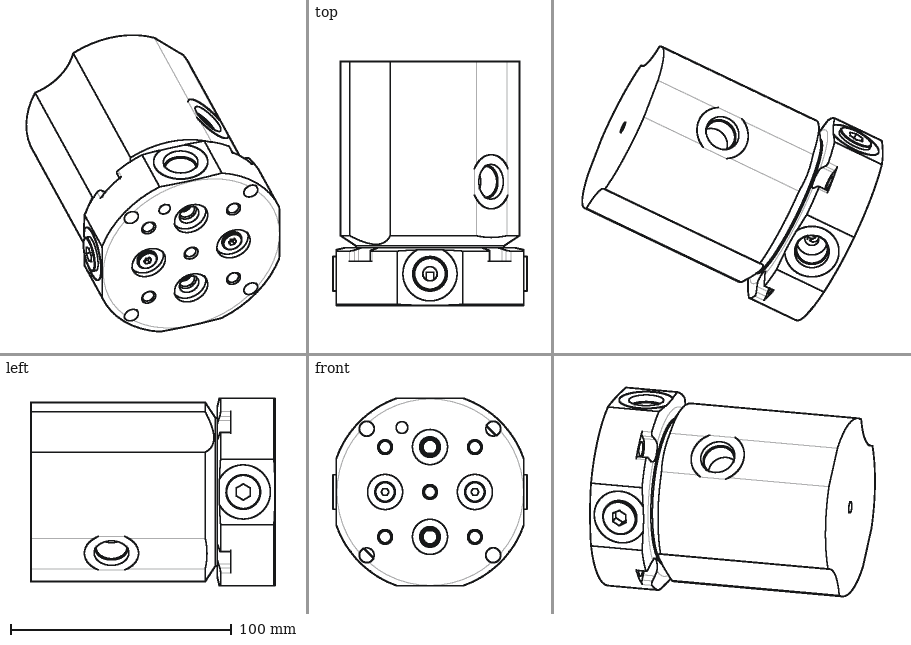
import cadquery as cq
import math


y_axis = (0, 1, 0)
corner_signs = [(1, 1), (1, -1), (-1, 1), (-1, -1)]
tolerance = 0.01

total_length = 110.5
flange_radius = 45.1
flat_distance = 42.5
body_radius = 40.5

front_chamfer_length = 0.5
rear_chamfer_start = 24.6
flange_end = 26.2
neck_end = 27.0
body_cone_end = 31.6

front_face_radius = 42.2
flange_rear_radius = 38.6
neck_radius = 33.6

body_flat_distance = 39.3
scallop_half_width = 12.9
scallop_bottom = 34.7

bolt_offset = 28.6
bolt_hole_radius = 3.3
bolt_pocket_radius = 5.4
bolt_pocket_mouth_fillet = 1.4
bolt_pocket_floor = 20.1

flange_port_y = 14.4
upper_body_port_y = 56.0
lower_body_port_y = 74.0
spotface_radius = 12.3
spotface_depth = 0.2
port_rim_radius = 7.8
port_rim_floor_radius = 7.4
port_rim_depth = 3.2
port_bore_radius = 7.0
port_bore_start = 3.6
port_bore_depth = 13.8
drill_point_slope = 0.6
feed_radius = 3.2
feed_floor = 17.6

plug_reach = 44.1
plug_rim_radius = 7.8
plug_chamfer = 0.3
plug_overlap = 0.5
plug_socket_corners = 7.3
plug_socket_depth = 5.5

face_port_offset = 20.3
face_recess_radius = 8.0
face_recess_depth = 2.8
face_rim_radius = 4.6
face_rim_floor_radius = 4.3
face_rim_floor = 5.3
face_thread_radius = 3.6
face_thread_end = 9.9
face_feed_radius = 3.2
face_feed_end = 15.1
face_plug_height = 1.4
face_plug_chamfer = 0.4
face_plug_socket_corners = 3.5
face_plug_socket_depth = 2.2
thread_rim_radius = 3.3
thread_hole_radius = 2.7
thread_hole_depth = 9.9
centre_hole_radius = 2.5
pin_x = -12.7
pin_z = 29.2
pin_radius = 2.7
pin_depth = 5.5


def turned(origin, direction, stations):
    """Solid of revolution about `direction`; each station is (distance from origin, radius)."""
    first = stations[0][0]
    last, last_radius = stations[-1]
    outline = [(0, first)]
    outline += [(radius, distance) for distance, radius in stations]
    if last_radius > 0:
        outline.append((0, last))
    solid = cq.Workplane("XZ").polyline(outline).close().revolve(360, (0, 0), (0, 1)).val()
    return solid.moved(cq.Plane(origin=origin, normal=direction).location)


def hexagon_socket(origin, direction, corners, depth):
    """Hexagonal prism with a corner along X on the mounting face and along Z on the flats."""
    corner_direction = (1, 0, 0) if direction == y_axis else (0, 0, 1)
    plane = cq.Plane(origin=origin, xDir=corner_direction, normal=direction)
    return cq.Workplane(plane).polygon(6, corners).extrude(depth)


def drill_point(depth, radius):
    """Station at the tip of the cone that ends a blind hole."""
    return (depth + radius * drill_point_slope, 0)


def bolt_pocket(x_sign, z_sign):
    """Slot behind a bolt hole, round at its inner end and open through the flange rim."""
    plane = cq.Plane(
        origin=(x_sign * bolt_offset, bolt_pocket_floor, z_sign * bolt_offset),
        xDir=(x_sign, 0, z_sign),
        normal=y_axis,
    )
    height = flange_end - bolt_pocket_floor
    width = 2 * bolt_pocket_radius
    round_end = cq.Workplane(plane).circle(bolt_pocket_radius).extrude(height)
    mouth = cq.Workplane(plane).center(bolt_pocket_radius, 0).rect(width, width).extrude(height)
    return round_end.union(mouth)


def is_pocket_mouth_edge(edge):
    centre = edge.Center()
    on_rim = abs(math.hypot(centre.x, centre.z) - flange_radius) < tolerance
    return on_rim and centre.y > bolt_pocket_floor


def flange():
    disc = cq.Workplane("XZ").circle(flange_radius).extrude(-flange_end)
    for x_sign, z_sign in corner_signs:
        disc = disc.cut(bolt_pocket(x_sign, z_sign))
    disc = disc.edges("|Y").filter(is_pocket_mouth_edge).fillet(bolt_pocket_mouth_fillet)
    for x_sign, z_sign in corner_signs:
        centre = (x_sign * bolt_offset, 0, z_sign * bolt_offset)
        disc = disc.cut(turned(centre, y_axis, [(0, bolt_hole_radius), (flange_end, bolt_hole_radius)]))
    envelope = turned((0, 0, 0), y_axis, [
        (0, front_face_radius),
        (front_chamfer_length, flange_radius),
        (rear_chamfer_start, flange_radius),
        (flange_end, flange_rear_radius),
    ])
    square = cq.Workplane("XZ").rect(2 * flat_distance, 2 * flat_distance).extrude(-flange_end)
    return square.intersect(disc).intersect(cq.Workplane(envelope))


def body():
    shape = cq.Workplane(turned((0, 0, 0), y_axis, [
        (front_chamfer_length, neck_radius),
        (neck_end, neck_radius),
        (body_cone_end, body_radius),
        (total_length, body_radius),
    ]))
    diagonal = cq.Plane(origin=(0, 0, 0), xDir=(1, 0, 1), normal=(0, -1, 0))
    flats = cq.Workplane(diagonal).rect(2 * body_flat_distance, 2 * body_radius).extrude(-total_length)
    edge_distance = math.sqrt(body_radius**2 - scallop_half_width**2)
    sagitta = edge_distance - scallop_bottom
    scallop_radius = (scallop_half_width**2 + sagitta**2) / (2 * sagitta)
    scallop_centre = scallop_bottom + scallop_radius
    scallops = (
        cq.Workplane(diagonal)
        .pushPoints([(0, scallop_centre), (0, -scallop_centre)])
        .circle(scallop_radius)
        .extrude(-total_length)
    )
    return shape.intersect(flats).cut(scallops)


def port_stations(bottom):
    """Spotface, rim counterbore and bore of a side port, closed by the given bottom stations."""
    return [
        (0, spotface_radius),
        (spotface_depth, spotface_radius),
        (spotface_depth, port_rim_radius),
        (port_rim_depth, port_rim_floor_radius),
        (port_bore_start, port_bore_radius),
        (port_bore_depth, port_bore_radius),
    ] + bottom


def open_flange_ports(part):
    cone_height = (port_bore_radius - feed_radius) * drill_point_slope
    bottom = [
        (port_bore_depth + cone_height, feed_radius),
        (flat_distance - feed_floor, feed_radius),
    ]
    for sign in (1, -1):
        mouth = (0, flange_port_y, sign * flat_distance)
        part = part.cut(turned(mouth, (0, 0, -sign), port_stations(bottom)))
    return part


def plugged_flange_ports(part):
    spotface = [(0, spotface_radius), (spotface_depth, spotface_radius)]
    for sign in (1, -1):
        inward = (-sign, 0, 0)
        part = part.cut(turned((sign * flat_distance, flange_port_y, 0), inward, spotface))
        plug_face = (sign * plug_reach, flange_port_y, 0)
        plug_root = plug_reach - flat_distance + spotface_depth + plug_overlap
        part = part.union(cq.Workplane(turned(plug_face, inward, [
            (0, plug_rim_radius - plug_chamfer),
            (plug_chamfer, plug_rim_radius),
            (plug_root, plug_rim_radius),
        ])))
        part = part.cut(hexagon_socket(plug_face, inward, plug_socket_corners, plug_socket_depth))
    return part


def body_ports(part):
    bottom = [drill_point(port_bore_depth, port_bore_radius)]
    for sign, port_y in ((1, upper_body_port_y), (-1, lower_body_port_y)):
        reach = sign * body_flat_distance / math.sqrt(2)
        mouth = (reach, port_y, reach)
        part = part.cut(turned(mouth, (-sign, 0, -sign), port_stations(bottom)))
    return part


def face_ports(part):
    recess = [(0, face_recess_radius), (face_recess_depth, face_recess_radius)]
    thread_start = face_rim_floor + face_rim_floor_radius - face_thread_radius
    feed_start = face_thread_end + (face_thread_radius - face_feed_radius) * drill_point_slope
    feed = recess + [
        (face_recess_depth, face_rim_radius),
        (face_rim_floor, face_rim_floor_radius),
        (thread_start, face_thread_radius),
        (face_thread_end, face_thread_radius),
        (feed_start, face_feed_radius),
        (face_feed_end, face_feed_radius),
    ]
    for sign in (1, -1):
        part = part.cut(turned((0, 0, sign * face_port_offset), y_axis, feed))
        plug_place = (sign * face_port_offset, 0, 0)
        part = part.cut(turned(plug_place, y_axis, recess))
        plug_top = face_recess_depth - face_plug_height
        part = part.union(cq.Workplane(turned(plug_place, y_axis, [
            (plug_top, face_rim_radius - face_plug_chamfer),
            (plug_top + face_plug_chamfer, face_rim_radius),
            (face_recess_depth + plug_overlap, face_rim_radius),
        ])))
        socket_mouth = (sign * face_port_offset, plug_top, 0)
        part = part.cut(
            hexagon_socket(socket_mouth, y_axis, face_plug_socket_corners, face_plug_socket_depth)
        )
    return part


def face_holes(part):
    rim_end = thread_rim_radius - thread_hole_radius
    for x_sign, z_sign in corner_signs:
        place = (x_sign * face_port_offset, 0, z_sign * face_port_offset)
        part = part.cut(turned(place, y_axis, [
            (0, thread_rim_radius),
            (rim_end, thread_hole_radius),
            (thread_hole_depth, thread_hole_radius),
            drill_point(thread_hole_depth, thread_hole_radius),
        ]))
    centre_rim_end = thread_rim_radius - centre_hole_radius
    part = part.cut(turned((0, 0, 0), y_axis, [
        (0, thread_rim_radius),
        (centre_rim_end, centre_hole_radius),
        (total_length, centre_hole_radius),
    ]))
    return part.cut(turned((pin_x, 0, pin_z), y_axis, [(0, pin_radius), (pin_depth, pin_radius)]))


result = flange().union(body())
result = open_flange_ports(result)
result = plugged_flange_ports(result)
result = body_ports(result)
result = face_ports(result)
result = face_holes(result)